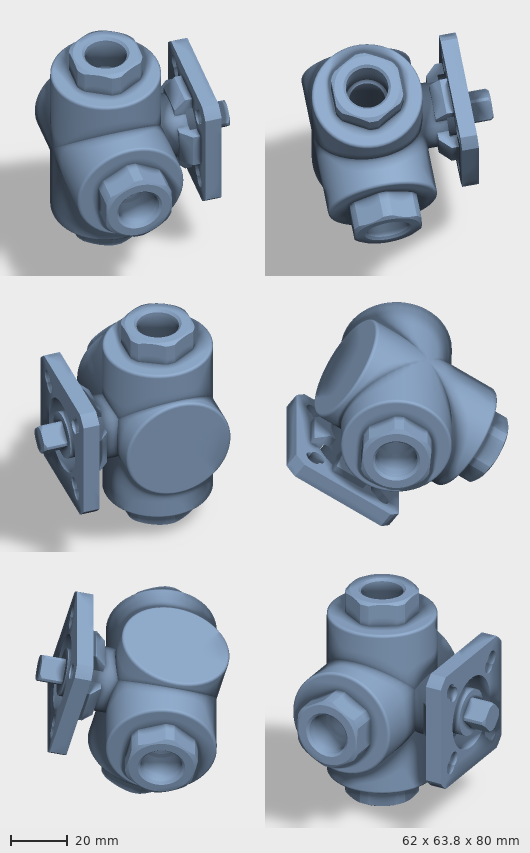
import cadquery as cq
import math

BODY_DIA = 39.0
BODY_RIM_FILLET = 1.0
VERTICAL_HALF_LENGTH = 31.25
CLOSED_END_X = -22.0
OPEN_END_X = 30.0

PORT_REACH = 40.0
HEX_ACROSS_FLATS = 24.0
HEX_CORNER_DIA = 26.0
HEX_FACE_DIA = 23.0
HEX_CHAMFER_ANGLE = 30.0

BORE_DIA = 12.7
THREAD_DIA = 14.95
THREAD_MOUTH_DIA = 16.7
THREAD_DEPTH = 13.0
DRILL_TIP_ANGLE = 118.0

PLATE_SIZE = 44.0
PLATE_CORNER_DIA = 57.4
PLATE_THICKNESS = 6.0
PLATE_BACK_Y = 29.85
PLATE_FRONT_Y = PLATE_BACK_Y + PLATE_THICKNESS
BOLT_CIRCLE_DIAS = (36.0, 42.0)
BOLT_HOLE_DIA = 5.5

NECK_DIA = 23.0
COLLAR_DIA = 17.0
PLATE_HOLE_DIA = 27.0
PLATE_GAP = 2.45
NECK_END_Y = PLATE_BACK_Y - PLATE_GAP
CLAW_REACH = 16.0
CLAW_WIDTH = 13.0
CLAW_HEIGHT = 6.5
CLAW_CHAMFER = 3.9

STEM_TOP_Y = 44.3
STEM_ACROSS_FLATS = 9.0
STEM_CORNER_DIA = 11.6
STEM_CHAMFER = 0.9


def y_plane(y):
    """Workplane facing +Y at height y; its local x is X."""
    return cq.Workplane(cq.Plane(origin=(0, y, 0), xDir=(1, 0, 0), normal=(0, 1, 0)))


def y_disc(dia, start_y, end_y):
    """Cylinder along Y between two heights."""
    return y_plane(start_y).circle(dia / 2).extrude(end_y - start_y)


def along_ports(shape):
    """Copies of a +Z feature for the three ports: +Z, -Z and +X."""
    to_bottom = shape.rotate((0, 0, 0), (1, 0, 0), 180)
    to_side = shape.rotate((0, 0, 0), (0, 1, 0), 90)
    return [shape, to_bottom, to_side]


def body():
    """Vertical and horizontal cylinders with rounded rims."""
    vertical = (
        cq.Workplane("XY", origin=(0, 0, -VERTICAL_HALF_LENGTH))
        .circle(BODY_DIA / 2)
        .extrude(2 * VERTICAL_HALF_LENGTH)
        .edges()
        .fillet(BODY_RIM_FILLET)
    )
    horizontal = (
        cq.Workplane("YZ", origin=(CLOSED_END_X, 0, 0))
        .circle(BODY_DIA / 2)
        .extrude(OPEN_END_X - CLOSED_END_X)
        .edges()
        .fillet(BODY_RIM_FILLET)
    )
    return vertical.union(horizontal)


def hex_end():
    """Hexagon rising from the origin to the +Z port face, corners turned and face chamfered."""
    corner_radius = HEX_CORNER_DIA / 2
    face_radius = HEX_FACE_DIA / 2
    chamfer_drop = (corner_radius - face_radius) * math.tan(math.radians(HEX_CHAMFER_ANGLE))
    across_corners = HEX_ACROSS_FLATS / math.cos(math.pi / 6)
    hexagon = cq.Workplane("XY").polygon(6, across_corners).extrude(PORT_REACH)
    turned = (
        cq.Workplane("XZ")
        .moveTo(0, 0)
        .lineTo(corner_radius, 0)
        .lineTo(corner_radius, PORT_REACH - chamfer_drop)
        .lineTo(face_radius, PORT_REACH)
        .lineTo(0, PORT_REACH)
        .close()
        .revolve(360, (0, 0, 0), (0, 1, 0))
    )
    return hexagon.intersect(turned)


def port_bore():
    """Bore from the origin to the +Z port face, with a drilled thread hole and a 45 degree mouth."""
    mouth_depth = (THREAD_MOUTH_DIA - THREAD_DIA) / 2
    thread_end = PORT_REACH - THREAD_DEPTH
    tip_length = (THREAD_DIA - BORE_DIA) / 2 / math.tan(math.radians(DRILL_TIP_ANGLE / 2))
    return (
        cq.Workplane("XZ")
        .moveTo(0, 0)
        .lineTo(BORE_DIA / 2, 0)
        .lineTo(BORE_DIA / 2, thread_end - tip_length)
        .lineTo(THREAD_DIA / 2, thread_end)
        .lineTo(THREAD_DIA / 2, PORT_REACH - mouth_depth)
        .lineTo(THREAD_MOUTH_DIA / 2, PORT_REACH)
        .lineTo(0, PORT_REACH)
        .close()
        .revolve(360, (0, 0, 0), (0, 1, 0))
    )


def plate():
    """Square plate with turned corners, paired bolt holes and a hole around the collar."""
    blank = y_plane(PLATE_BACK_Y).rect(PLATE_SIZE, PLATE_SIZE).extrude(PLATE_THICKNESS)
    flange = blank.intersect(y_disc(PLATE_CORNER_DIA, PLATE_BACK_Y, PLATE_FRONT_Y))
    for circle_dia in BOLT_CIRCLE_DIAS:
        holes = (
            y_plane(PLATE_BACK_Y)
            .polarArray(circle_dia / 2, 45, 360, 4)
            .circle(BOLT_HOLE_DIA / 2)
            .extrude(PLATE_THICKNESS)
        )
        flange = flange.cut(holes)
    return flange.cut(y_disc(PLATE_HOLE_DIA, PLATE_BACK_Y, PLATE_FRONT_Y))


def claws():
    """Four claws below the plate; the plate hole runs on into them down to the end of the neck."""
    tip_y = PLATE_BACK_Y - CLAW_HEIGHT
    bar = (
        cq.Workplane("XY")
        .moveTo(-CLAW_REACH, PLATE_BACK_Y)
        .lineTo(-CLAW_REACH, tip_y + CLAW_CHAMFER)
        .lineTo(-CLAW_REACH + CLAW_CHAMFER, tip_y)
        .lineTo(CLAW_REACH - CLAW_CHAMFER, tip_y)
        .lineTo(CLAW_REACH, tip_y + CLAW_CHAMFER)
        .lineTo(CLAW_REACH, PLATE_BACK_Y)
        .close()
        .extrude(CLAW_WIDTH / 2, both=True)
    )
    cross = bar.union(bar.rotate((0, 0, 0), (0, 1, 0), 90))
    return cross.cut(y_disc(PLATE_HOLE_DIA, NECK_END_Y, PLATE_BACK_Y))


def stem():
    """Square stem with turned corners and a chamfered tip."""
    square = (
        y_plane(PLATE_FRONT_Y)
        .rect(STEM_ACROSS_FLATS, STEM_ACROSS_FLATS)
        .extrude(STEM_TOP_Y - PLATE_FRONT_Y)
        .rotate((0, 0, 0), (0, 1, 0), 45)
    )
    turned = y_disc(STEM_CORNER_DIA, PLATE_FRONT_Y, STEM_TOP_Y).faces(">Y").chamfer(STEM_CHAMFER)
    return square.intersect(turned)


def valve():
    part = body()
    for end in along_ports(hex_end()):
        part = part.union(end)
    part = part.union(y_disc(NECK_DIA, 0, NECK_END_Y))
    part = part.union(claws())
    part = part.union(y_disc(COLLAR_DIA, 0, PLATE_FRONT_Y))
    part = part.union(plate())
    part = part.union(stem())
    for bore in along_ports(port_bore()):
        part = part.cut(bore)
    return part


result = valve()